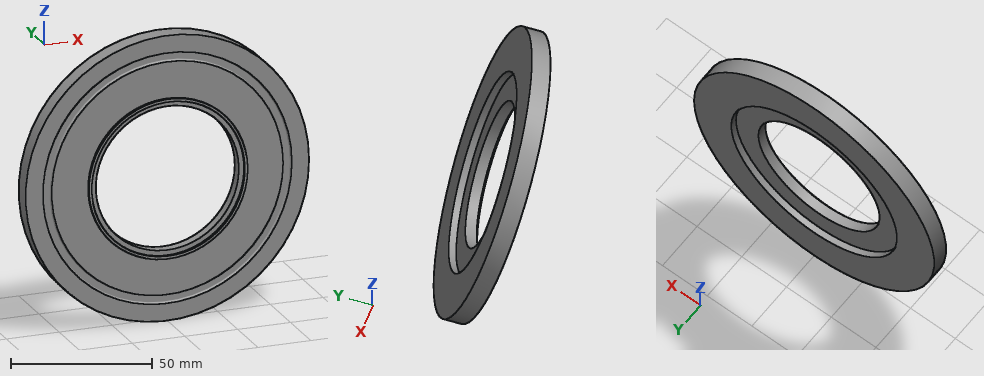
import cadquery as cq

outer_radius = 53.7
bore_radius = 27.1
plate_thickness = 7.0

rim_outer_radius = 30.1
rim_inner_radius = 29.0
rim_height = 1.0

groove_outer_radius = 47.1
groove_inner_radius = 43.8
groove_depth = 1.0
wall_taper = 0.4
groove_edge_fillet = 0.2

recess_radius = 37.0
web_thickness = 4.2

front_face = 0.0
rim_face = front_face - rim_height
groove_floor = front_face + groove_depth
recess_floor = front_face + web_thickness
back_face = front_face + plate_thickness


def revolve_section(points):
    """Revolve a half section, given as (radius, Y) points, about the Y axis."""
    section = cq.Workplane("XY").polyline(points).close()
    return section.revolve(360, (0, 0, 0), (0, 1, 0))


def make_plate():
    """Ring with the front rim and the back recess."""
    return revolve_section([
        (bore_radius, recess_floor),
        (bore_radius, front_face),
        (rim_inner_radius, front_face),
        (rim_inner_radius, rim_face),
        (rim_outer_radius, rim_face),
        (rim_outer_radius, front_face),
        (outer_radius, front_face),
        (outer_radius, back_face),
        (recess_radius, back_face),
        (recess_radius, recess_floor),
    ])


def make_groove_cutter():
    """Tapered ring with rounded edges along the groove floor."""
    cutter = revolve_section([
        (groove_inner_radius, front_face),
        (groove_inner_radius + wall_taper, groove_floor),
        (groove_outer_radius - wall_taper, groove_floor),
        (groove_outer_radius, front_face),
    ])
    return cutter.faces(">Y").edges().fillet(groove_edge_fillet)


result = make_plate().cut(make_groove_cutter())